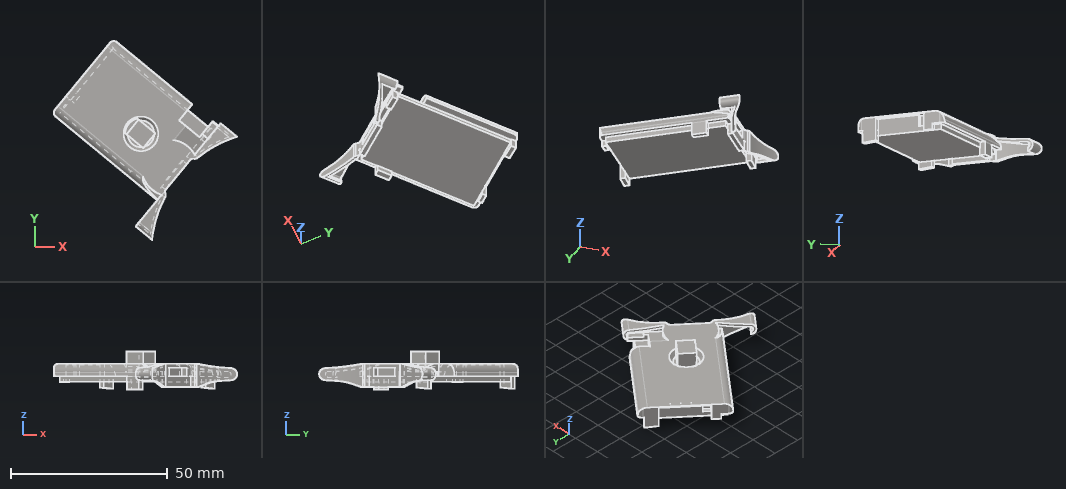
import cadquery as cq
import math

TURN = -39.5

REAR_X = -26.05
FRONT_X = 17.45
SIDE_LEFT = 17.45
SIDE_RIGHT = -12.8
EDGE_RADIUS = 2.8
RIM_BOTTOM = -4.0
RIM_FLARE = 0.25
REAR_CORNER_RADIUS = 1.6
FRONT_CORNER_CHAMFER = 0.5

BASE_REAR_X = -24.2
BASE_FRONT_X = 15.7
BASE_LEFT = 15.35
BASE_RIGHT = -11.2
BASE_BOTTOM = -5.8

REAR_GAP_RIGHT = -5.95
REAR_GAP_LEFT = 10.9
REAR_GAP_TOP = -0.4
GAP_CORNER_LENGTH = 1.4
GAP_CORNER_LEFT = -3.3

SLANTED_FOOT_RIGHT = 10.9
SLANTED_FOOT_WIDTH = 4.7
SLANTED_FOOT_LENGTH = 1.8
SLANTED_FOOT_BOTTOM = -8.0
SLANTED_FOOT_RISE = 0.4
FRONT_FOOT_X = 15.9
SIDE_FOOT_X = 5.0
SIDE_FOOT_LENGTH = 4.9
SIDE_FOOT_RIGHT = -13.05
SIDE_FOOT_WIDTH = 2.0
SIDE_FOOT_BOTTOM = -8.25
REAR_FOOT_LENGTH = 1.4
REAR_FOOT_RIGHT = -9.05
REAR_FOOT_BOTTOM = -5.9

HEAD_Y = -2.55
HEAD_HALF_WIDTH = 6.2
HEAD_BOTTOM = -7.5
WING_ROOT = 8.3
WING_TIP_START = 19.5
WING_TIP = 21.3
WING_TIP_TOP = -1.3
WING_TIP_BOTTOM = -5.3
WING_OUTER_X = 24.3
WING_MIDDLE_X = 20.65
WING_MIDDLE = 14.45
WING_CORNER_MIDDLE = (17.75, 6.85)
WING_CORNER_END = (18.3, 7.2)
WING_FRONT_START = (18.75, 7.8)
WING_TOP_CURVE = [(12.8, -0.7), (16.6, -1.15)]
WING_BOTTOM_CURVE = [(15.7, -5.6), (13.5, -5.9), (10.7, -6.7)]
WING_WALL = 1.1
OVERSHOOT = 0.65

WINDOW_WIDTH = 8.8
WINDOW_TOP = -1.3
WINDOW_BOTTOM = -3.9
WINDOW_DEPTH = 2.0

RAMP_START_X = 9.25
RAMP_DROP = 2.5
RELIEF_START = 7.6
RELIEF_MIDDLE = 8.95
RELIEF_END = 8.3
RELIEF_MIDDLE_X = 13.8

NOTCH_REAR_X = 6.65
NOTCH_FRONT_X = 15.1
NOTCH_RIGHT = 11.0
TAB_STEP_Y = 12.35
TAB_TOP = -2.6

PLUG_LENGTH = 6.9
PLUG_WIDTH = 6.1
PLUG_TOP = 3.9
SEAT_DEPTH = 2.55
CONE_TOP_RADIUS = 5.5
CONE_FLOOR_RADIUS = 4.25
CONE_DEPTH = 1.9
SLOT_RADIUS = 5.0


def block(x_range, y_range, z_range):
    """Box between the given limits along each axis."""
    (x0, x1), (y0, y1), (z0, z1) = x_range, y_range, z_range
    return cq.Workplane("XY").box(x1 - x0, y1 - y0, z1 - z0, centered=False).translate((x0, y0, z0))


def cover_shell():
    """Slab with rounded long edges, flared rims and rounded rear corners."""
    bend = EDGE_RADIUS * math.sqrt(0.5)
    section = (
        cq.Workplane("YZ", origin=(REAR_X, 0, 0))
        .moveTo(SIDE_RIGHT - RIM_FLARE, RIM_BOTTOM)
        .lineTo(SIDE_RIGHT, -EDGE_RADIUS)
        .threePointArc(
            (SIDE_RIGHT + EDGE_RADIUS - bend, bend - EDGE_RADIUS),
            (SIDE_RIGHT + EDGE_RADIUS, 0),
        )
        .lineTo(SIDE_LEFT - EDGE_RADIUS, 0)
        .threePointArc(
            (SIDE_LEFT - EDGE_RADIUS + bend, bend - EDGE_RADIUS),
            (SIDE_LEFT, -EDGE_RADIUS),
        )
        .lineTo(SIDE_LEFT + RIM_FLARE, RIM_BOTTOM)
        .close()
        .extrude(FRONT_X - REAR_X)
    )
    y_range = (SIDE_RIGHT - RIM_FLARE, SIDE_LEFT + RIM_FLARE)
    outline = block((REAR_X, FRONT_X), y_range, (RIM_BOTTOM, 0))
    outline = outline.edges("|Z and <X").fillet(REAR_CORNER_RADIUS)
    outline = outline.edges("|Z and >X").chamfer(FRONT_CORNER_CHAMFER)
    return section.intersect(outline)


def mirror_to_right(shape):
    """Copy of a left-hand shape on the right side of the head's centre line."""
    return shape.mirror("XZ", (0, HEAD_Y, 0))


def curved_plan(bottom, straight_side):
    """Plan bounded by the curved relief wall and a straight side, reaching up to the cover top."""
    return (
        cq.Workplane("XY", origin=(0, HEAD_Y, bottom))
        .moveTo(RAMP_START_X, RELIEF_START)
        .threePointArc((RELIEF_MIDDLE_X, RELIEF_MIDDLE), (FRONT_X, RELIEF_END))
        .lineTo(FRONT_X, straight_side)
        .lineTo(RAMP_START_X, straight_side)
        .close()
        .extrude(-bottom)
    )


def neck_half():
    """Left half of the flat neck between the two finger reliefs."""
    return curved_plan(RIM_BOTTOM, 0)


def relief_cutter():
    """Left-hand finger relief: a ramp falling forward, bounded by a curved wall."""
    far = WING_TIP
    plan = curved_plan(-RAMP_DROP, far)
    ramp = (
        cq.Workplane("XZ", origin=(0, HEAD_Y, 0))
        .polyline([(RAMP_START_X, 0), (FRONT_X, -RAMP_DROP), (FRONT_X, 0)])
        .close()
        .extrude(-far)
    )
    return plan.intersect(ramp)


def wing_side_profile(inset):
    """Wing seen along X: full height at the root, tapering to a rounded tip."""
    middle = (WING_TIP_TOP + WING_TIP_BOTTOM) / 2
    return (
        cq.Workplane("YZ", origin=(BASE_FRONT_X, HEAD_Y, 0))
        .moveTo(0, -inset)
        .lineTo(WING_ROOT, -inset)
        .spline(
            [(y, z - inset) for y, z in WING_TOP_CURVE + [(WING_TIP_START, WING_TIP_TOP)]],
            includeCurrent=True,
        )
        .threePointArc((WING_TIP - inset, middle), (WING_TIP_START, WING_TIP_BOTTOM + inset))
    )


def wing():
    """Left-hand wing, hollow from behind and below."""
    depth = WING_OUTER_X - BASE_FRONT_X + OVERSHOOT
    plan_bottom = HEAD_BOTTOM - OVERSHOOT
    plan_height = -HEAD_BOTTOM + 2 * OVERSHOOT
    plan_end = WING_TIP + OVERSHOOT
    envelope = (
        wing_side_profile(0)
        .spline(WING_BOTTOM_CURVE + [(WING_ROOT, HEAD_BOTTOM)], includeCurrent=True)
        .lineTo(0, HEAD_BOTTOM)
        .close()
        .extrude(depth)
    )
    plan = (
        cq.Workplane("XY", origin=(0, HEAD_Y, plan_bottom))
        .moveTo(FRONT_X, HEAD_HALF_WIDTH)
        .threePointArc(WING_CORNER_MIDDLE, WING_CORNER_END)
        .lineTo(*WING_FRONT_START)
        .threePointArc((WING_MIDDLE_X, WING_MIDDLE), (WING_OUTER_X, WING_TIP))
        .lineTo(WING_OUTER_X, plan_end)
        .lineTo(FRONT_X, plan_end)
        .close()
        .extrude(plan_height)
    )
    hollow_plan = (
        cq.Workplane("XY", origin=(0, HEAD_Y, plan_bottom))
        .moveTo(FRONT_X, WING_ROOT)
        .lineTo(WING_FRONT_START[0] - WING_WALL, WING_ROOT)
        .threePointArc((WING_MIDDLE_X - WING_WALL, WING_MIDDLE), (WING_OUTER_X - WING_WALL, WING_TIP))
        .lineTo(WING_OUTER_X - WING_WALL, plan_end)
        .lineTo(FRONT_X, plan_end)
        .close()
        .extrude(plan_height)
    )
    hollow_side = (
        wing_side_profile(WING_WALL)
        .lineTo(WING_TIP_START, plan_bottom)
        .lineTo(0, plan_bottom)
        .close()
        .extrude(depth)
    )
    return envelope.intersect(plan).cut(hollow_plan.intersect(hollow_side))


def head():
    """Front wall below the cover, to be pierced by the window."""
    y_range = (HEAD_Y - HEAD_HALF_WIDTH, HEAD_Y + HEAD_HALF_WIDTH)
    return block((BASE_FRONT_X, FRONT_X), y_range, (HEAD_BOTTOM, 0))


def window_cutter():
    """Blind rectangular window in the front face."""
    y_range = (HEAD_Y - WINDOW_WIDTH / 2, HEAD_Y + WINDOW_WIDTH / 2)
    return block((FRONT_X - WINDOW_DEPTH, FRONT_X), y_range, (WINDOW_BOTTOM, WINDOW_TOP))


def slanted_foot(rear_x):
    """Foot whose underside rises toward the right."""
    left = SLANTED_FOOT_RIGHT + SLANTED_FOOT_WIDTH
    return (
        cq.Workplane("YZ", origin=(rear_x, 0, 0))
        .polyline([
            (SLANTED_FOOT_RIGHT, RIM_BOTTOM),
            (left, RIM_BOTTOM),
            (left, SLANTED_FOOT_BOTTOM),
            (SLANTED_FOOT_RIGHT, SLANTED_FOOT_BOTTOM + SLANTED_FOOT_RISE),
        ])
        .close()
        .extrude(SLANTED_FOOT_LENGTH)
    )


def side_foot():
    """Longest foot, under the right edge."""
    return block(
        (SIDE_FOOT_X, SIDE_FOOT_X + SIDE_FOOT_LENGTH),
        (SIDE_FOOT_RIGHT, SIDE_FOOT_RIGHT + SIDE_FOOT_WIDTH),
        (SIDE_FOOT_BOTTOM, RIM_BOTTOM),
    )


def rear_foot():
    """Short foot under the rear wall."""
    return block(
        (REAR_X, REAR_X + REAR_FOOT_LENGTH),
        (REAR_FOOT_RIGHT, REAR_GAP_RIGHT),
        (REAR_FOOT_BOTTOM, RIM_BOTTOM),
    )


def rear_gap_cutter():
    """Gap in the rear wall, deeper in its right corner."""
    gap = block((REAR_X, BASE_REAR_X), (REAR_GAP_RIGHT, REAR_GAP_LEFT), (RIM_BOTTOM, REAR_GAP_TOP))
    corner = block(
        (BASE_REAR_X, BASE_REAR_X + GAP_CORNER_LENGTH),
        (REAR_GAP_RIGHT, GAP_CORNER_LEFT),
        (RIM_BOTTOM, REAR_GAP_TOP),
    )
    return gap.union(corner)


def plug():
    """Square plug standing in the seat."""
    return (
        cq.Workplane("XY", origin=(0, 0, -SEAT_DEPTH))
        .rect(PLUG_LENGTH, PLUG_WIDTH)
        .extrude(PLUG_TOP + SEAT_DEPTH)
    )


def seat_cutter():
    """Conical countersink, a slot behind the plug and the square socket."""
    cone = cq.Workplane(
        cq.Solid.makeCone(CONE_FLOOR_RADIUS, CONE_TOP_RADIUS, CONE_DEPTH, cq.Vector(0, 0, -CONE_DEPTH))
    )
    slot = (
        cq.Workplane("XY", origin=(0, 0, -SEAT_DEPTH))
        .circle(SLOT_RADIUS)
        .extrude(SEAT_DEPTH)
        .intersect(block((-SLOT_RADIUS, 0), (-PLUG_WIDTH / 2, PLUG_WIDTH / 2), (-SEAT_DEPTH, 0)))
    )
    return cone.union(slot).union(plug())


def cover():
    """The whole cover with its base, feet, head, wings and plug seat."""
    base = block((BASE_REAR_X, BASE_FRONT_X), (BASE_RIGHT, BASE_LEFT), (BASE_BOTTOM, RIM_BOTTOM))
    notch = block(
        (NOTCH_REAR_X, NOTCH_FRONT_X), (NOTCH_RIGHT, SIDE_LEFT + RIM_FLARE), (RIM_BOTTOM, 0)
    )
    tab_step = block(
        (NOTCH_FRONT_X, FRONT_X), (TAB_STEP_Y, SIDE_LEFT + RIM_FLARE), (TAB_TOP, 0)
    )
    body = cover_shell().cut(relief_cutter()).cut(mirror_to_right(relief_cutter()))
    body = body.union(neck_half()).union(mirror_to_right(neck_half()))
    body = body.cut(notch).cut(tab_step).cut(rear_gap_cutter()).union(base)
    for foot in (slanted_foot(REAR_X), slanted_foot(FRONT_FOOT_X), side_foot(), rear_foot()):
        body = body.union(foot)
    body = body.union(head()).union(wing()).union(mirror_to_right(wing()))
    return body.cut(window_cutter()).cut(seat_cutter())


def turned(shape):
    """Shape turned into its final position."""
    return shape.rotate((0, 0, 0), (0, 0, 1), TURN)


cover_body = turned(cover())
plug_body = turned(plug())
result = cq.Compound.makeCompound([cover_body.val(), plug_body.val()])